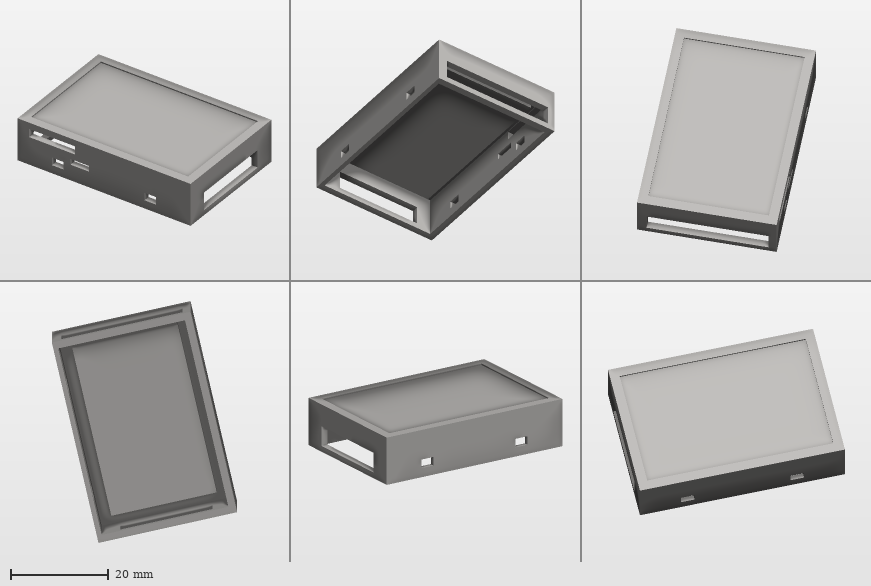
import cadquery as cq

length = 43.2
width = 29.2
height = 10.3
wall = 1.5
back_wall = 1.0
bottom_z = -height / 2
top_z = height / 2

bezel = 2.0
recess_depth = 0.3
glass_thickness = 1.0
module_margin = 3.5
module_bottom_z = bottom_z + 6.93

window_length = 2.92
window_height = 1.85
window_spacing = 23.08
window_sill = 2.0

long_slot_left = 2.92
long_slot_length = 11.4
long_slot_sill = 6.76
long_slot_height = 2.0
short_slot_left = 13.2
short_slot_length = 4.65
short_slot_sill = 3.85
short_slot_height = 1.4

end_sill = 1.25
end_height = 4.3
left_opening_min_y = -12.9
left_opening_max_y = width / 2 - bezel
right_opening_min_y = -9.8
right_opening_max_y = 9.65


def block(x_range, y_range, z_range):
    """Axis-aligned box between the given lower and upper limits."""
    lower, upper = zip(x_range, y_range, z_range)
    sizes = [high - low for low, high in zip(lower, upper)]
    return cq.Workplane("XY").box(*sizes, centered=False).translate(lower)


def inset_block(margin, low_z, high_z):
    """Box whose sides lie a constant margin inside the outer case."""
    half_length = length / 2 - margin
    half_width = width / 2 - margin
    return block((-half_length, half_length), (-half_width, half_width), (low_z, high_z))


def make_case():
    """Open-bottomed case with a recessed display face and the module behind it."""
    recess_floor_z = top_z - recess_depth
    glass_bottom_z = recess_floor_z - glass_thickness
    case = inset_block(0, bottom_z, top_z)
    case = case.cut(inset_block(bezel, recess_floor_z, top_z))
    cavity_x = (-length / 2 + wall, length / 2 - wall)
    cavity_y = (-width / 2 + wall, width / 2 - back_wall)
    case = case.cut(block(cavity_x, cavity_y, (bottom_z, glass_bottom_z)))
    return case.union(inset_block(module_margin, module_bottom_z, glass_bottom_z))


def long_wall_opening(left, opening_length, sill, opening_height, side):
    """Cutter through one long wall: side is -1 for the -Y wall, 1 for the +Y wall."""
    wall_y = sorted((side * width / 2, side * (width / 2 - wall)))
    low_z = bottom_z + sill
    return block((left, left + opening_length), wall_y, (low_z, low_z + opening_height))


def end_wall_opening(min_y, max_y, side):
    """Cutter through one end wall: side is -1 for the -X wall, 1 for the +X wall."""
    wall_x = sorted((side * length / 2, side * (length / 2 - wall)))
    low_z = bottom_z + end_sill
    return block(wall_x, (min_y, max_y), (low_z, low_z + end_height))


result = make_case()

for side in (-1, 1):
    for center_x in (-window_spacing / 2, window_spacing / 2):
        window_left = center_x - window_length / 2
        result = result.cut(
            long_wall_opening(window_left, window_length, window_sill, window_height, side)
        )

front_slots = (
    (long_slot_left, long_slot_length, long_slot_sill, long_slot_height),
    (short_slot_left, short_slot_length, short_slot_sill, short_slot_height),
)
for left_offset, slot_length, sill, slot_height in front_slots:
    slot_left = -length / 2 + left_offset
    result = result.cut(long_wall_opening(slot_left, slot_length, sill, slot_height, -1))

result = result.cut(end_wall_opening(left_opening_min_y, left_opening_max_y, -1))
result = result.cut(end_wall_opening(right_opening_min_y, right_opening_max_y, 1))